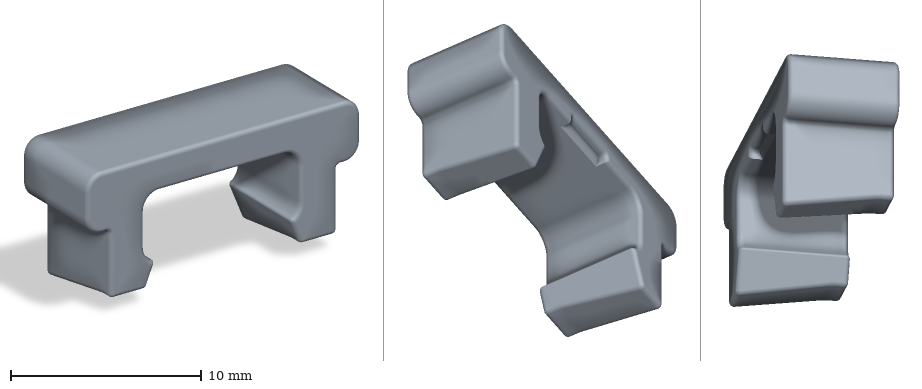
import cadquery as cq
import math

width = 5.98
span = 17.5

head_height = 3.5
head_radius = 1.0
bridge_thickness = 2.0

leg_outer_y = 7.25
gap_width = 9.98
gap_offset = -0.08
gap_radius = 1.0

throat_z = -5.08
throat_radius = 1.0
toe_y = 5.28
lead_in_angle = math.radians(22.5)

short_leg_length = 7.48
level_length = 0.86
end_slope = math.radians(9.2)
end_bend_radius = 2.5

notch_width = 3.5
notch_height = 0.5
notch_depth = 0.5
notch_wall_angle = math.radians(65)
notch_corner_radius = 0.25

edge_radius = 0.25
root_radius = 0.25
hook_tip_radius = 0.15

front_x = -width / 2
back_x = width / 2
bend_x = back_x - level_length
long_leg_length = short_leg_length + (bend_x - front_x) * math.tan(end_slope)


def box_between(low, high):
    """Selector for shapes whose center lies between two corner points."""
    return cq.selectors.BoxSelector(low, high)


def hook_tip(inner_y):
    """Point (y, z) where the throat arc of a leg on the +Y side meets its lead-in slope."""
    direction_y = -math.sin(lead_in_angle)
    direction_z = math.cos(lead_in_angle)
    from_center_y = toe_y - (inner_y - throat_radius)
    from_center_z = -long_leg_length - throat_z
    along = from_center_y * direction_y + from_center_z * direction_z
    offset_squared = from_center_y**2 + from_center_z**2 - throat_radius**2
    travel = -along - math.sqrt(along**2 - offset_squared)
    return toe_y + travel * direction_y, -long_leg_length + travel * direction_z


def head():
    """Solid bar with rounded long edges."""
    bar = cq.Workplane("XY").box(width, span, head_height).translate((0, 0, -head_height / 2))
    return bar.edges("|X").fillet(head_radius)


def gap_in_head():
    """Part of the gap that reaches up into the bar, with rounded upper corners."""
    block = (
        cq.Workplane("XY")
        .box(width, gap_width, head_height)
        .translate((0, gap_offset, -bridge_thickness - head_height / 2))
    )
    return block.edges("|X and >Z").fillet(gap_radius)


def leg(inner_y):
    """Leg on the +Y side with its hook, square at the lower end."""
    tip_y, tip_z = hook_tip(inner_y)
    top_z = -bridge_thickness - gap_radius
    return (
        cq.Workplane("YZ", origin=(front_x, 0, 0))
        .moveTo(leg_outer_y, top_z)
        .lineTo(leg_outer_y, -long_leg_length)
        .lineTo(toe_y, -long_leg_length)
        .lineTo(tip_y, tip_z)
        .radiusArc((inner_y, throat_z), -throat_radius)
        .lineTo(inner_y, top_z)
        .close()
        .extrude(width)
    )


def leg_end_cut():
    """Block below the legs whose top leaves their level and sloping ends."""
    floor_z = -long_leg_length - short_leg_length
    block = (
        cq.Workplane("XZ", origin=(0, span / 2, 0))
        .moveTo(front_x, -long_leg_length)
        .lineTo(bend_x, -short_leg_length)
        .lineTo(back_x, -short_leg_length)
        .lineTo(back_x, floor_z)
        .lineTo(front_x, floor_z)
        .close()
        .extrude(span)
    )
    bend = cq.selectors.NearestToPointSelector((bend_x, 0, -short_leg_length))
    return block.edges("|Y").edges(bend).fillet(end_bend_radius)


def notch():
    """Pocket open to the -X side and downward, with rounded upper corners."""
    roof_z = -bridge_thickness + notch_height
    slope_run = notch_height / math.tan(notch_wall_angle)
    pocket = (
        cq.Workplane("XZ", origin=(0, notch_width / 2, 0))
        .moveTo(front_x, -bridge_thickness)
        .lineTo(front_x, roof_z)
        .lineTo(front_x + notch_depth, roof_z)
        .lineTo(front_x + notch_depth + slope_run, -bridge_thickness)
        .close()
        .extrude(notch_width)
    )
    return pocket.edges("|X and >Z").fillet(notch_corner_radius)


def round_roots(body):
    """Round the inside corners where the legs leave the bar."""
    reach = head_radius / 4
    for side in (-1, 1):
        y = side * leg_outer_y
        corner = box_between(
            (front_x, y - reach, -head_height - reach),
            (back_x, y + reach, -head_height + reach),
        )
        body = body.edges("|X").edges(corner).fillet(root_radius)
    return body


def round_hook_tips(body):
    """Blunt the hook tips."""
    hooks = box_between(
        (front_x, -toe_y, throat_z - 2 * throat_radius),
        (back_x, toe_y, throat_z - throat_radius / 2),
    )
    return body.edges("|X").edges(hooks).fillet(hook_tip_radius)


def round_leg_ends(body):
    """Round the long edges of the legs' lower ends."""
    ends = box_between(
        (front_x, -leg_outer_y, -long_leg_length - edge_radius),
        (back_x, leg_outer_y, -short_leg_length + edge_radius),
    )
    return body.faces(ends).edges("not |Y").fillet(edge_radius)


def round_side_faces(body):
    """Round the whole outline of the -X and +X faces."""
    for side in ("<X", ">X"):
        body = body.faces(side).edges().fillet(edge_radius)
    return body


clip = head().cut(gap_in_head())
clip = clip.union(leg(gap_width / 2 + gap_offset))
clip = clip.union(leg(gap_width / 2 - gap_offset).mirror("XZ"))
clip = clip.cut(leg_end_cut())
clip = clip.cut(notch())
clip = round_roots(clip)
clip = round_hook_tips(clip)
clip = round_leg_ends(clip)
result = round_side_faces(clip)